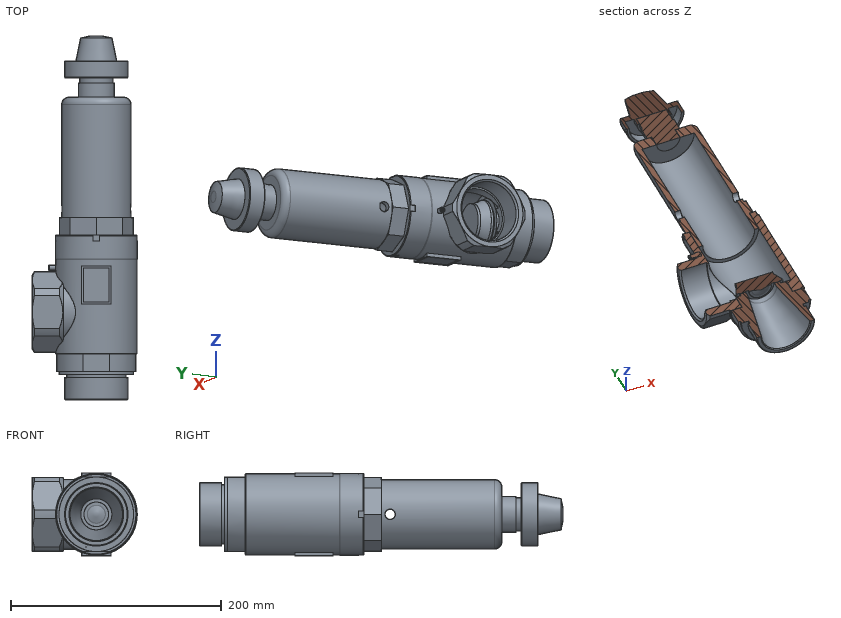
import cadquery as cq
import math


Y_INLET_END = -83.5
Y_THREAD_START = -62.3
Y_COLLAR_FRONT = -59.5
Y_FLATS_FRONT = -56.8
Y_HOUSING_FRONT = -40.0
Y_NIPPLE_SHOULDER = -24.5
Y_SEAT = -22.0
Y_DISC_RIM = -19.7
Y_DISC_FLANGE = -10.6
Y_DISC_BACK = -7.8
Y_RING_FRONT = 50.7
Y_HOUSING_BACK = 73.4
Y_VENT = 98.2
Y_BONNET_OCTAGON_BACK = 89.9
Y_BONNET_BACK = 204.6
Y_NECK_SHOULDER = 218.0
Y_KNOB_FRONT = 222.8
Y_RIM_BACK = 239.2
Y_KNOB_TIP = 263.0

RING_RADIUS = 39.0
BARREL_RADIUS = 38.8
CHAMBER_RADIUS = 31.0
EDGE_CHAMFER = 0.8
KEY_NOTCH_WIDTH = 6.0
KEY_NOTCH_LENGTH = 5.5
KEY_NOTCH_DEPTH = 1.0

OUTLET_REACH = 61.0
OUTLET_HEX_START = 31.2
OUTLET_HEX_FLATS = 70.4
OUTLET_CORNER_RADIUS = 38.5
OUTLET_FACE_RADIUS = 35.0
OUTLET_BACK_FACE_RADIUS = 34.5
OUTLET_CHAMFER_ANGLE = 30.0
OUTLET_NECK_RADIUS = 33.4
OUTLET_BORE_RADIUS = 28.7
OUTLET_BORE_DEPTH = 28.0
OUTLET_PASSAGE_RADIUS = 27.0
OUTLET_LEAD_IN = 1.8

PAD_TOP = 39.5
PAD_WIDTH = 28.0
PAD_LENGTH = 36.0
PAD_Y = 25.7
PAD_RIM = 1.8
PAD_RECESS = 0.4

NIPPLE_RADIUS = 37.7
NIPPLE_FLATS = 71.0
COLLAR_RADIUS = NIPPLE_FLATS / 2
RELIEF_RADIUS = 28.4
THREAD_RADIUS = 30.2
NIPPLE_SPIGOT_RADIUS = 26.0
SEAT_RIM_RADIUS = 21.0
THROAT_RADIUS = 14.8
THROAT_LENGTH = 6.0
INLET_BORE_RADIUS = 25.0
INLET_LEAD_IN_RADIUS = 26.0

DISC_RADIUS = 24.0
DISC_FLANGE_RADIUS = 19.6
DISC_FACE_RADIUS = 11.7
DISC_FACE_STEP = 1.5
NOSE_RADIUS = 8.6
NOSE_HEIGHT = 2.5

BONNET_RADIUS = 33.1
BONNET_SHOULDER_FILLET = 7.0
BONNET_OCTAGON_FLATS = 65.0
BONNET_BORE_RADIUS = 27.0
BONNET_CAP = 12.0
VENT_DIAMETER = 9.6

NECK_COLLAR_RADIUS = 17.2
NECK_RADIUS = 16.0
NECK_SPIGOT_RADIUS = 12.0

KNOB_RIM_RADIUS = 30.2
KNOB_CONE_BASE_RADIUS = 19.5
KNOB_CONE_TOP_RADIUS = 15.0
KNOB_CONE_LENGTH = 21.8
KNOB_TIP_RADIUS = 5.5
KNOB_RECESS_RADIUS = 27.0
KNOB_RECESS_DEPTH = 10.0
KNOB_HUB_RADIUS = 18.0
KNOB_HUB_SETBACK = 1.5

SCREW_Y = 42.2
SCREW_RADIUS = 2.6
SCREW_REACH = 45.5
SCREW_DEPTH = 12.0
SCREW_SOCKET_FLATS = 2.5
SCREW_SOCKET_DEPTH = 2.0

OCTAGON_SIDES = 8
HEX_SIDES = 6
QUARTERS = 4


def across_corners(flats, sides):
    return flats / math.cos(math.pi / sides)


def turned(profile):
    """Revolve a closed list of (radius, y) points around the main axis."""
    return cq.Workplane("XY").polyline(profile).close().revolve(360, (0, 0, 0), (0, 1, 0))


def cylinder_y(radius, y_start, y_end):
    """Cylinder on the main axis."""
    return cq.Workplane("XZ", origin=(0, y_start, 0)).circle(radius).extrude(y_start - y_end)


def cylinder_x(radius, reach_start, reach_end, y=0.0):
    """Cylinder along -X, between two distances from the main axis."""
    return cq.Workplane("YZ", origin=(-reach_end, y, 0)).circle(radius).extrude(reach_end - reach_start)


def make_outlet_hex():
    """Hexagon with turned corners and chamfered ends, flats facing +Z and -Z."""
    length = OUTLET_REACH - OUTLET_HEX_START
    hexagon = (
        cq.Workplane("YZ", origin=(-OUTLET_REACH, 0, 0))
        .polygon(HEX_SIDES, across_corners(OUTLET_HEX_FLATS, HEX_SIDES))
        .extrude(length)
    )
    chamfer_rise = OUTLET_CORNER_RADIUS - OUTLET_FACE_RADIUS
    chamfer_length = chamfer_rise * math.tan(math.radians(OUTLET_CHAMFER_ANGLE))
    inner_chamfer = OUTLET_CORNER_RADIUS - OUTLET_BACK_FACE_RADIUS
    envelope = (
        cq.Workplane("XY")
        .polyline([
            (-OUTLET_REACH, 0),
            (-OUTLET_REACH, OUTLET_FACE_RADIUS),
            (-OUTLET_REACH + chamfer_length, OUTLET_CORNER_RADIUS),
            (-OUTLET_HEX_START - inner_chamfer, OUTLET_CORNER_RADIUS),
            (-OUTLET_HEX_START, OUTLET_BACK_FACE_RADIUS),
            (-OUTLET_HEX_START, 0),
        ])
        .close()
        .revolve(360, (0, 0, 0), (1, 0, 0))
    )
    return hexagon.intersect(envelope)


def make_pad(side):
    """Raised rectangular name plate with a rim; side is +1 for +Z, -1 for -Z."""
    block = cq.Workplane("XY", origin=(0, PAD_Y, 0)).rect(PAD_WIDTH, PAD_LENGTH).extrude(side * PAD_TOP)
    recess = (
        cq.Workplane("XY", origin=(0, PAD_Y, side * PAD_TOP))
        .rect(PAD_WIDTH - 2 * PAD_RIM, PAD_LENGTH - 2 * PAD_RIM)
        .extrude(-side * PAD_RECESS)
    )
    return block.cut(recess)


def make_key_notches():
    """Four shallow notches around the back edge of the ring."""
    notch = cq.Workplane("XY").box(KEY_NOTCH_WIDTH, 2 * KEY_NOTCH_LENGTH, 2 * KEY_NOTCH_DEPTH)
    notch = notch.translate((0, Y_HOUSING_BACK, RING_RADIUS))
    notches = cq.Workplane("XY")
    for quarter in range(QUARTERS):
        notches = notches.add(notch.rotate((0, 0, 0), (0, 1, 0), quarter * 360 / QUARTERS))
    return notches.combine()


def make_housing():
    housing = turned([
        (0, Y_HOUSING_FRONT),
        (BARREL_RADIUS - EDGE_CHAMFER, Y_HOUSING_FRONT),
        (BARREL_RADIUS, Y_HOUSING_FRONT + EDGE_CHAMFER),
        (BARREL_RADIUS, Y_RING_FRONT - EDGE_CHAMFER),
        (RING_RADIUS, Y_RING_FRONT),
        (RING_RADIUS, Y_HOUSING_BACK - EDGE_CHAMFER),
        (RING_RADIUS - EDGE_CHAMFER, Y_HOUSING_BACK),
        (0, Y_HOUSING_BACK),
    ])
    housing = housing.union(cylinder_x(OUTLET_NECK_RADIUS, 0, OUTLET_HEX_START)).union(make_outlet_hex())
    for side in (1, -1):
        housing = housing.union(make_pad(side))
    housing = housing.cut(cylinder_y(CHAMBER_RADIUS, Y_NIPPLE_SHOULDER, Y_HOUSING_BACK))
    housing = housing.cut(cylinder_y(NIPPLE_SPIGOT_RADIUS, Y_HOUSING_FRONT, Y_NIPPLE_SHOULDER))

    bore_end = OUTLET_REACH - OUTLET_BORE_DEPTH
    outlet = (
        cq.Workplane("XY")
        .polyline([
            (0, 0),
            (0, OUTLET_PASSAGE_RADIUS),
            (-bore_end, OUTLET_PASSAGE_RADIUS),
            (-bore_end, OUTLET_BORE_RADIUS),
            (-OUTLET_REACH + OUTLET_LEAD_IN, OUTLET_BORE_RADIUS),
            (-OUTLET_REACH, OUTLET_BORE_RADIUS + OUTLET_LEAD_IN),
            (-OUTLET_REACH, 0),
        ])
        .close()
        .revolve(360, (0, 0, 0), (1, 0, 0))
    )
    housing = housing.cut(outlet)
    housing = housing.cut(make_key_notches())
    return housing.cut(cylinder_x(SCREW_RADIUS, SCREW_REACH - SCREW_DEPTH, SCREW_REACH, SCREW_Y))


def make_nipple():
    """Inlet connection with two spanner flats, a conical bore and the valve seat."""
    nipple = turned([
        (THROAT_RADIUS, Y_SEAT),
        (SEAT_RIM_RADIUS, Y_SEAT),
        (SEAT_RIM_RADIUS, Y_NIPPLE_SHOULDER),
        (NIPPLE_SPIGOT_RADIUS, Y_NIPPLE_SHOULDER),
        (NIPPLE_SPIGOT_RADIUS, Y_HOUSING_FRONT),
        (NIPPLE_RADIUS, Y_HOUSING_FRONT),
        (NIPPLE_RADIUS, Y_FLATS_FRONT),
        (COLLAR_RADIUS, Y_FLATS_FRONT),
        (COLLAR_RADIUS, Y_COLLAR_FRONT),
        (RELIEF_RADIUS, Y_COLLAR_FRONT),
        (RELIEF_RADIUS, Y_THREAD_START),
        (THREAD_RADIUS, Y_THREAD_START),
        (THREAD_RADIUS, Y_INLET_END + EDGE_CHAMFER),
        (THREAD_RADIUS - EDGE_CHAMFER, Y_INLET_END),
        (INLET_LEAD_IN_RADIUS, Y_INLET_END),
        (INLET_BORE_RADIUS, Y_INLET_END + INLET_LEAD_IN_RADIUS - INLET_BORE_RADIUS),
        (THROAT_RADIUS, Y_SEAT - THROAT_LENGTH),
    ])
    flats = cq.Workplane("XY").box(2 * NIPPLE_RADIUS, 2 * abs(Y_INLET_END), NIPPLE_FLATS)
    return nipple.intersect(flats)


def make_disc():
    """Valve disc resting on the seat, with a stepped conical nose in the throat."""
    return turned([
        (0, Y_DISC_BACK),
        (DISC_FLANGE_RADIUS, Y_DISC_BACK),
        (DISC_FLANGE_RADIUS, Y_DISC_FLANGE),
        (DISC_RADIUS, Y_DISC_RIM),
        (DISC_RADIUS, Y_SEAT),
        (DISC_FACE_RADIUS, Y_SEAT),
        (DISC_FACE_RADIUS, Y_SEAT - DISC_FACE_STEP),
        (NOSE_RADIUS, Y_SEAT - DISC_FACE_STEP),
        (0, Y_SEAT - DISC_FACE_STEP - NOSE_HEIGHT),
    ])


def make_bonnet():
    """Hollow spring bonnet with an octagon, a threaded spigot and a cross vent."""
    sleeve = cylinder_y(BONNET_RADIUS, Y_BONNET_OCTAGON_BACK, Y_BONNET_BACK)
    sleeve = sleeve.faces(">Y").edges().fillet(BONNET_SHOULDER_FILLET)
    octagon = (
        cq.Workplane("XZ", origin=(0, Y_HOUSING_BACK, 0))
        .polygon(OCTAGON_SIDES, across_corners(BONNET_OCTAGON_FLATS, OCTAGON_SIDES))
        .extrude(Y_HOUSING_BACK - Y_BONNET_OCTAGON_BACK)
    )
    spigot = cylinder_y(CHAMBER_RADIUS, Y_RING_FRONT, Y_HOUSING_BACK)
    bonnet = sleeve.union(octagon).union(spigot)
    bonnet = bonnet.cut(cylinder_y(BONNET_BORE_RADIUS, Y_RING_FRONT, Y_BONNET_BACK - BONNET_CAP))
    bonnet = bonnet.cut(cylinder_y(NECK_SPIGOT_RADIUS, Y_BONNET_BACK - BONNET_CAP, Y_BONNET_BACK))
    return bonnet.cut(cylinder_x(VENT_DIAMETER / 2, -RING_RADIUS, RING_RADIUS, Y_VENT))


def make_neck():
    """Collar on the bonnet that carries the lifting knob."""
    return turned([
        (0, Y_BONNET_BACK - BONNET_CAP),
        (NECK_SPIGOT_RADIUS, Y_BONNET_BACK - BONNET_CAP),
        (NECK_SPIGOT_RADIUS, Y_BONNET_BACK),
        (NECK_COLLAR_RADIUS, Y_BONNET_BACK),
        (NECK_COLLAR_RADIUS, Y_NECK_SHOULDER),
        (NECK_RADIUS, Y_NECK_SHOULDER),
        (NECK_RADIUS, Y_KNOB_FRONT + KNOB_RECESS_DEPTH),
        (0, Y_KNOB_FRONT + KNOB_RECESS_DEPTH),
    ])


def make_knob():
    """Lifting knob: a recessed rim, a hub around the neck and a tapered grip."""
    cone_top = Y_RIM_BACK + KNOB_CONE_LENGTH
    recess_floor = Y_KNOB_FRONT + KNOB_RECESS_DEPTH
    hub_face = Y_KNOB_FRONT + KNOB_HUB_SETBACK
    return turned([
        (0, recess_floor),
        (NECK_RADIUS, recess_floor),
        (NECK_RADIUS, hub_face),
        (KNOB_HUB_RADIUS, hub_face),
        (KNOB_HUB_RADIUS, recess_floor),
        (KNOB_RECESS_RADIUS, recess_floor),
        (KNOB_RECESS_RADIUS, Y_KNOB_FRONT),
        (KNOB_RIM_RADIUS - EDGE_CHAMFER, Y_KNOB_FRONT),
        (KNOB_RIM_RADIUS, Y_KNOB_FRONT + EDGE_CHAMFER),
        (KNOB_RIM_RADIUS, Y_RIM_BACK - EDGE_CHAMFER),
        (KNOB_RIM_RADIUS - EDGE_CHAMFER, Y_RIM_BACK),
        (KNOB_CONE_BASE_RADIUS, Y_RIM_BACK),
        (KNOB_CONE_TOP_RADIUS, cone_top),
        (KNOB_TIP_RADIUS, Y_KNOB_TIP),
        (0, Y_KNOB_TIP),
    ])


def make_screw():
    screw = cylinder_x(SCREW_RADIUS, SCREW_REACH - SCREW_DEPTH, SCREW_REACH, SCREW_Y)
    screw = screw.faces("<X").chamfer(EDGE_CHAMFER)
    socket = (
        cq.Workplane("YZ", origin=(-SCREW_REACH, SCREW_Y, 0))
        .polygon(HEX_SIDES, across_corners(SCREW_SOCKET_FLATS, HEX_SIDES))
        .extrude(SCREW_SOCKET_DEPTH)
    )
    return screw.cut(socket)


housing = make_housing()
nipple = make_nipple()
disc = make_disc()
bonnet = make_bonnet()
neck = make_neck()
knob = make_knob()
screw = make_screw()

bodies = [housing, nipple, disc, bonnet, neck, knob, screw]
result = cq.Compound.makeCompound([body.val() for body in bodies])